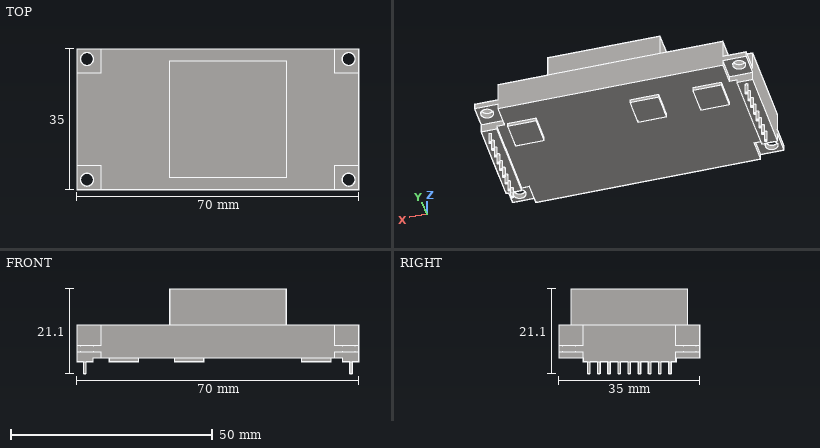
import cadquery as cq

length = 70.0
width = 35.0
plate_thickness = 1.55
hole_diameter = 3.15
hole_inset = 2.5

notch = 6.0
upper_height = 5.2
lower_height = 1.55

block_side = 29.0
block_height = 8.95
block_offset_x = 2.5

foot_depth = 0.9
foot_length = 4.05
pad_side = 7.35
pad_centers_x = (-23.3, -7.15, 24.4)
pad_edge_y = 11.7

pin_places = 9
left_pin_count = 8
right_pin_count = pin_places
pin_pitch = 2.5
pin_diameter = 0.7
pin_length = 3.0
pin_tip_chamfer = 0.15
pin_inset = 1.95

body_bottom = -lower_height
foot_bottom = body_bottom - foot_depth
body_top = plate_thickness + upper_height

end_width = width - 2 * notch


def box(size_x, size_y, bottom, top, center=(0, 0)):
    """Upright box between two levels."""
    return (
        cq.Workplane("XY", origin=(*center, bottom))
        .rect(size_x, size_y)
        .extrude(top - bottom)
    )


def base_plate():
    """Full-size plate with a through hole in each corner."""
    return (
        box(length, width, 0, plate_thickness)
        .faces(">Z")
        .workplane()
        .rect(length - 2 * hole_inset, width - 2 * hole_inset, forConstruction=True)
        .vertices()
        .hole(hole_diameter)
    )


def notched_body():
    """Cross-shaped body that leaves the four plate corners free."""
    lengthwise = box(length, end_width, body_bottom, body_top)
    crosswise = box(length - 2 * notch, width, body_bottom, body_top)
    return lengthwise.union(crosswise)


def pin_row(x, count):
    """Row of pins with chamfered tips, running towards -Y from the +Y place."""
    first_y = pin_pitch * (pin_places - 1) / 2
    positions = [(x, first_y - i * pin_pitch) for i in range(count)]
    return (
        cq.Workplane("XY", origin=(0, 0, foot_bottom))
        .pushPoints(positions)
        .circle(pin_diameter / 2)
        .extrude(-pin_length)
        .faces("<Z")
        .chamfer(pin_tip_chamfer)
    )


result = base_plate().union(notched_body())
block_top = body_top + block_height
result = result.union(box(block_side, block_side, body_top, block_top, (block_offset_x, 0)))

for side, pin_count in ((-1, left_pin_count), (1, right_pin_count)):
    foot_x = side * (length - foot_length) / 2
    result = result.union(box(foot_length, end_width, foot_bottom, body_bottom, (foot_x, 0)))
    result = result.union(pin_row(side * (length / 2 - pin_inset), pin_count))

for pad_x in pad_centers_x:
    pad_center = (pad_x, pad_edge_y - pad_side / 2)
    result = result.union(box(pad_side, pad_side, foot_bottom, body_bottom, pad_center))